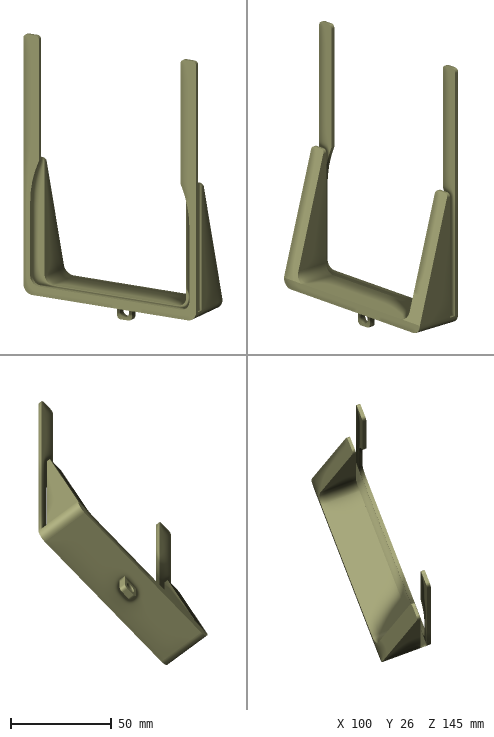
import cadquery as cq

WIDTH = 100.0
DEPTH = 26.0
ARM_HEIGHT = 135.0
ARM_WIDTH = 9.0
FLOOR_THICKNESS = 5.0
CORNER_RADIUS = 5.0
TIP_RADIUS = 2.0

PLATE_THICKNESS = 2.0
RIM_WIDTH = 3.9
RIM_STRAIGHT_TOP = 48.0
RIM_TOP = 70.3

GROOVE_WIDTH = 3.5
GROOVE_DEPTH = 0.5

CHEEK_HEIGHT = 70.3
CHEEK_TIP_DEPTH = 1.5

TAB_WIDTH = 8.6
TAB_DROP = 10.0
TAB_THICKNESS = 3.3
TAB_START = 14.5
TAB_RADIUS = 2.0
HOLE_DIAMETER = 5.4
HOLE_DROP = 5.8

HALF_WIDTH = WIDTH / 2
CHEEK_START = PLATE_THICKNESS + GROOVE_WIDTH


def front_sketch(start):
    """Sketch plane facing the front at Y = start, with local axes X and Z."""
    return cq.Workplane("XZ", origin=(0, start, 0))


def u_blank(start, depth, height):
    """U-shaped channel with rounded outer and inner corners and rounded arm tips."""
    block = (
        front_sketch(start)
        .rect(WIDTH, height)
        .extrude(-depth)
        .translate((0, 0, height / 2))
        .edges("|Y and <Z")
        .fillet(CORNER_RADIUS)
    )
    inner_width = WIDTH - 2 * ARM_WIDTH
    opening = (
        front_sketch(start)
        .rect(inner_width, height)
        .extrude(-depth)
        .translate((0, 0, FLOOR_THICKNESS + height / 2))
        .edges("|Y and <Z")
        .fillet(CORNER_RADIUS)
    )
    return block.cut(opening).edges("|Y and >Z").fillet(TIP_RADIUS)


def rim_opening():
    """Wider opening of the front plate, curving in to the arms at its top."""
    half_wide = HALF_WIDTH - RIM_WIDTH
    half_narrow = HALF_WIDTH - ARM_WIDTH
    bottom = FLOOR_THICKNESS
    flare = half_wide - half_narrow
    rise = RIM_TOP - RIM_STRAIGHT_TOP
    flank_radius = (flare**2 + rise**2) / (2 * flare)
    return (
        front_sketch(0)
        .moveTo(-half_wide, bottom)
        .lineTo(half_wide, bottom)
        .lineTo(half_wide, RIM_STRAIGHT_TOP)
        .radiusArc((half_narrow, RIM_TOP), -flank_radius)
        .lineTo(-half_narrow, RIM_TOP)
        .radiusArc((-half_wide, RIM_STRAIGHT_TOP), -flank_radius)
        .close()
        .extrude(-PLATE_THICKNESS)
        .edges("|Y and <Z")
        .fillet(CORNER_RADIUS)
    )


def front_plate():
    return u_blank(0, PLATE_THICKNESS, ARM_HEIGHT).cut(rim_opening())


def cheeks():
    """Rear channel whose two arms are trimmed to sloping cheeks."""
    channel = u_blank(CHEEK_START, DEPTH - CHEEK_START, CHEEK_HEIGHT)
    tip_back = CHEEK_START + CHEEK_TIP_DEPTH
    side_profile = (
        cq.Workplane("YZ", origin=(-HALF_WIDTH, 0, 0))
        .moveTo(CHEEK_START, 0)
        .lineTo(DEPTH, 0)
        .lineTo(DEPTH, FLOOR_THICKNESS)
        .lineTo(tip_back, CHEEK_HEIGHT)
        .lineTo(CHEEK_START, CHEEK_HEIGHT)
        .close()
        .extrude(WIDTH)
    )
    return channel.intersect(side_profile)


def groove_floor():
    """Strip of floor under the groove, joining the front plate to the cheeks."""
    strip_height = FLOOR_THICKNESS - GROOVE_DEPTH
    strip = cq.Workplane("XY").box(WIDTH, GROOVE_WIDTH, strip_height, centered=(True, False, False))
    outline = u_blank(0, GROOVE_WIDTH, ARM_HEIGHT)
    return strip.intersect(outline).translate((0, PLATE_THICKNESS, 0))


def tab():
    """Tab below the floor, pierced from front to back."""
    root = FLOOR_THICKNESS / 2
    plate = (
        front_sketch(TAB_START)
        .rect(TAB_WIDTH, TAB_DROP + root)
        .extrude(-TAB_THICKNESS)
        .translate((0, 0, (root - TAB_DROP) / 2))
        .edges("|Y and <Z")
        .fillet(TAB_RADIUS)
    )
    hole = (
        front_sketch(TAB_START)
        .center(0, -HOLE_DROP)
        .circle(HOLE_DIAMETER / 2)
        .extrude(-TAB_THICKNESS)
    )
    return plate.cut(hole)


result = front_plate().union(groove_floor()).union(cheeks()).union(tab())